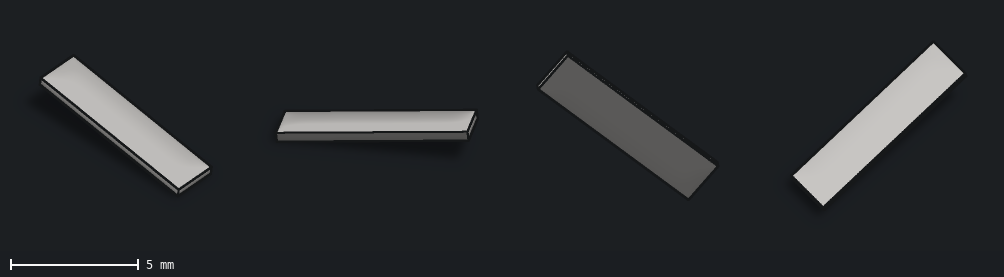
import cadquery as cq
import math

overall_length = 7.72
width = 1.83
thickness = 0.4
tilt_degrees = 6.6

tilt = math.radians(tilt_degrees)
bar_length = (overall_length - thickness * math.sin(tilt)) / math.cos(tilt)

bar = cq.Workplane("XY").box(bar_length, width, thickness)
result = bar.rotate((0, 0, 0), (0, 1, 0), tilt_degrees)